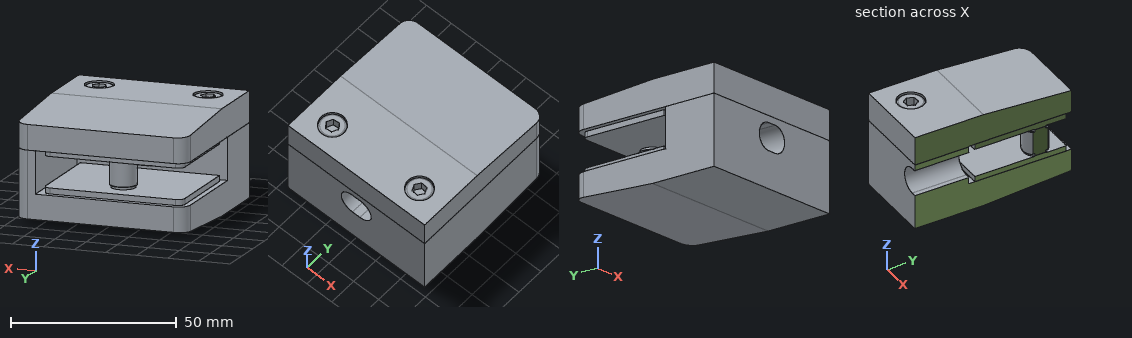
import cadquery as cq
import math

width = 55.0
depth = 55.0
height = 33.5
corner_radius = 4.0
cover_thickness = 10.0
split_height = height - cover_thickness

taper_start = 24.0
taper_drop = 2.0

jaw_thickness = 10.0
web_depth = 19.0
side_wall = 6.5
pocket_width = width - side_wall

slot_length = 12.0
slot_height = 9.0

pad_thickness = 1.85
pad_margin = 1.85
pad_front = 21.0
pad_corner_radius = corner_radius - pad_margin
pad_width = pocket_width - 2 * pad_margin
pad_length = depth - pad_margin - pad_front

pin_diameter = 8.5
pin_neck_diameter = 7.6
pin_neck_height = 0.85
pin_x = pocket_width / 2
pin_y = 44.0
pin_bottom = jaw_thickness + pad_thickness
pin_height = split_height - jaw_thickness - 2 * pad_thickness

screw_inset_x = 10.0
screw_y = 9.0
screw_positions = [(screw_inset_x, screw_y), (width - screw_inset_x, screw_y)]
counterbore_diameter = 9.0
head_diameter = 8.8
head_height = 5.0
head_edge_radius = 0.55
head_recess = 0.35
shank_diameter = 5.0
shank_length = 16.0
socket_across_flats = 4.0
socket_across_corners = socket_across_flats / math.cos(math.pi / 6)
socket_depth = 3.0
socket_angles = [5.0, -5.0]
head_bottom = height - head_recess - head_height
shank_bottom = head_bottom - shank_length


def make_envelope():
    """Whole clamp block with both tapered jaws and rounded back corners."""
    side_profile = [
        (0, 0),
        (taper_start, 0),
        (depth, taper_drop),
        (depth, height - taper_drop),
        (taper_start, height),
        (0, height),
    ]
    block = cq.Workplane("YZ").polyline(side_profile).close().extrude(width)
    return block.edges("|Z and >Y").fillet(corner_radius)


def make_slab(bottom, top):
    """Full-plan box between two heights, used to split the block."""
    return cq.Workplane("XY").box(width, depth, top - bottom, centered=False).translate((0, 0, bottom))


def make_cylinders(diameter, bottom, top):
    """Vertical cylinders on the screw axes."""
    plane = cq.Workplane("XY", origin=(0, 0, bottom))
    return plane.pushPoints(screw_positions).circle(diameter / 2).extrude(top - bottom)


def make_base():
    """Lower jaw, front web and side wall."""
    base = make_envelope().intersect(make_slab(0, split_height))
    pocket = cq.Workplane("XY").box(
        pocket_width, depth - web_depth, split_height - jaw_thickness, centered=False
    )
    pocket = pocket.translate((0, web_depth, jaw_thickness))
    slot_center = (width / 2, 0, (jaw_thickness + split_height) / 2)
    slot = cq.Workplane("XZ", origin=slot_center).slot2D(slot_length, slot_height).extrude(-web_depth)
    return base.cut(pocket).cut(slot).cut(make_cylinders(shank_diameter, shank_bottom, split_height))


def make_cover():
    """Upper jaw with counterbored screw holes."""
    cover = make_envelope().intersect(make_slab(split_height, height))
    cover = cover.cut(make_cylinders(shank_diameter, split_height, head_bottom))
    return cover.cut(make_cylinders(counterbore_diameter, head_bottom, height))


def make_pad(bottom):
    """Flat pad lying on a pocket face, with rounded back corners."""
    pad = cq.Workplane("XY").box(pad_width, pad_length, pad_thickness, centered=False)
    pad = pad.edges("|Z and >Y").fillet(pad_corner_radius)
    return pad.translate((pad_margin, pad_front, bottom))


def make_pin():
    """Round pin with a narrower neck at each end."""
    neck = cq.Workplane("XY").circle(pin_neck_diameter / 2).extrude(pin_height)
    barrel_height = pin_height - 2 * pin_neck_height
    barrel = cq.Workplane("XY", origin=(0, 0, pin_neck_height))
    barrel = barrel.circle(pin_diameter / 2).extrude(barrel_height)
    return neck.union(barrel).translate((pin_x, pin_y, pin_bottom))


def make_screw(x, y, socket_angle):
    """Socket head cap screw with a rounded head rim and its hexagon socket turned by an angle."""
    head = cq.Workplane("XY").circle(head_diameter / 2).extrude(head_height)
    head = head.faces(">Z").edges().fillet(head_edge_radius)
    socket = cq.Workplane("XY", origin=(0, 0, head_height - socket_depth))
    socket = socket.polygon(6, socket_across_corners).extrude(socket_depth)
    socket = socket.rotate((0, 0, 0), (0, 0, 1), socket_angle)
    shank = cq.Workplane("XY").circle(shank_diameter / 2).extrude(-shank_length)
    return head.cut(socket).union(shank).translate((x, y, head_bottom))


base = make_base()
cover = make_cover()
pads = [make_pad(bottom) for bottom in (jaw_thickness, split_height - pad_thickness)]
pin = make_pin()
screws = [make_screw(x, y, angle) for (x, y), angle in zip(screw_positions, socket_angles)]

result = cq.Compound.makeCompound(
    [base.val(), cover.val(), pin.val()]
    + [pad.val() for pad in pads]
    + [screw.val() for screw in screws]
)